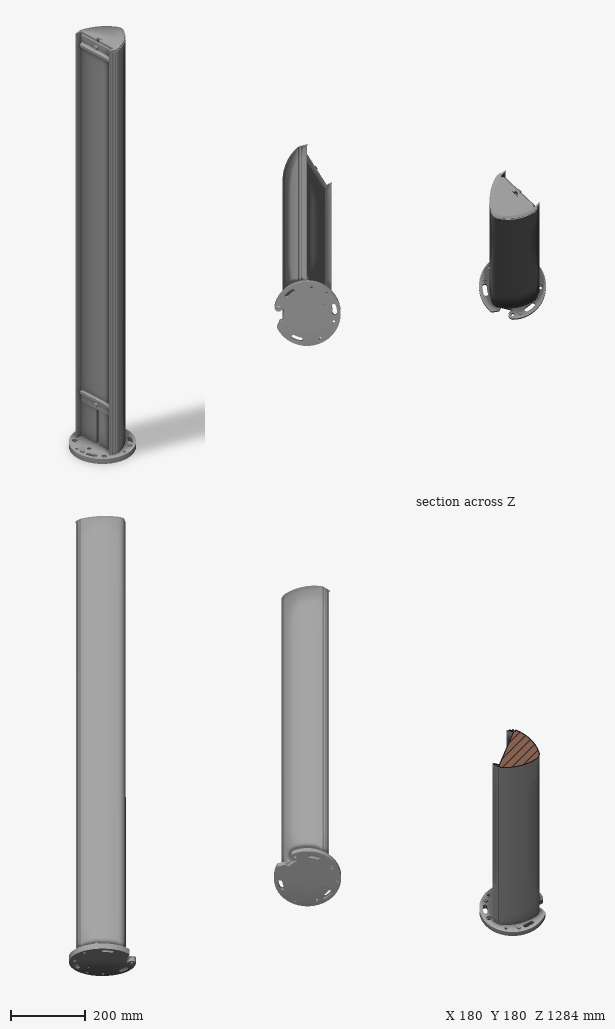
import cadquery as cq
import math

total_height = 1284.0
base_radius = 90.0
base_height = 15.0
overlap = 1.0

post_half_width = 72.0
post_widest_y = -15.0
flank_mid = (55.0, 27.0)
nose_start = (13.0, 69.0)
nose_tip_y = 73.0
side_groove_x = 67.0
side_groove_end_y = -19.0
arm_points = [(70.0, -19.0), (70.0, -23.0), (67.0, -25.0), (67.0, -31.0), (64.0, -33.0), (64.0, -37.0)]
recess_half_width = 62.0
panel_y = -19.0

cap_thickness = 6.0
cap_inset = 1.9
cap_edge_drop = 1.9
cap_edge_width = 8.0
cap_tip_x = 63.0
cap_tip_y = -40.0

groove_mouth_width = 10.9
groove_head_width = 22.0
groove_head_depth = 1.5
groove_back_y = -9.6

bracket_width = 112.0
bracket_height = 35.0
bracket_plate_y = -23.0
bracket_lip_y = -30.0
bracket_lip_height = 8.0
bracket_slope_height = 5.0
bracket_screw_offset = 14.0
bracket_screw_head_height = 6.0
lower_bracket_z = 127.0
upper_bracket_top_z = 1276.0

screw_circle_radius = 76.0
screw_head_diameter = 12.0
base_screw_head_height = 6.0
base_screw_angles = (30, 150, 270)
screw_socket_diameter = 4.4
screw_socket_depth = 5.0

slot_circle_radius = 75.0
slot_width = 12.0
slot_half_angle = 8.0
slot_first_angle = 52.5
slot_count = 3
pin_hole_radius = 78.0
pin_hole_diameters = {4: 7.8, 134: 7.8, 254: 9.0}
corner_hole_xy = (56.0, -49.0)
corner_hole_diameter = 8.5
corner_bore_diameter = 15.0
corner_bore_depth = 5.0
centre_hole_y = -50.0
centre_hole_diameter = 12.0
centre_hole_depth = 8.0
centre_pilot_diameter = 4.4
notch_inner_radius = 65.0
notch_start_angle = 106.0
notch_end_angle = 134.0
notch_flare_angle = 95.5
notch_lobe_radius = 10.9


def polar(radius, degrees):
    """The X, Y position at a distance and direction from the post axis."""
    angle = math.radians(degrees)
    return (radius * math.cos(angle), radius * math.sin(angle))


def mirrored(point):
    """The point on the other side of the symmetry plane X = 0."""
    return (-point[0], point[1])


def box(width, y_front, y_back, z_bottom, z_top):
    """A block centred on X = 0."""
    size = (width, y_back - y_front, z_top - z_bottom)
    return cq.Workplane().box(*size, centered=(True, False, False)).translate((0, y_front, z_bottom))


def screw_head(height):
    """A cylindrical head standing on the XY plane, with a round socket in its top."""
    head = cq.Workplane().circle(screw_head_diameter / 2).extrude(height)
    return head.faces(">Z").workplane().hole(screw_socket_diameter, screw_socket_depth)


def make_base():
    base = cq.Workplane().circle(base_radius).extrude(base_height)

    outer = base_radius + 13
    notch = (
        cq.Workplane()
        .moveTo(*polar(notch_inner_radius, notch_end_angle))
        .lineTo(*polar(outer, notch_end_angle))
        .lineTo(*polar(outer, notch_flare_angle))
        .lineTo(*polar(base_radius, notch_flare_angle))
        .lineTo(*polar(screw_circle_radius, notch_start_angle))
        .lineTo(*polar(notch_inner_radius, notch_start_angle))
        .close()
        .extrude(base_height)
    )
    base = base.cut(notch)
    lobe = cq.Workplane().center(*polar(pin_hole_radius, notch_end_angle))
    base = base.union(lobe.circle(notch_lobe_radius).extrude(base_height))

    for turn in range(slot_count):
        angle = slot_first_angle + turn * 360 / slot_count
        start, middle, end = (
            polar(slot_circle_radius, angle + step) for step in (-slot_half_angle, 0, slot_half_angle)
        )
        path = cq.Workplane().moveTo(*start).threePointArc(middle, end)
        base = base.cut(path.offset2D(slot_width / 2).extrude(base_height))

    for angle, diameter in pin_hole_diameters.items():
        pin = cq.Workplane().center(*polar(pin_hole_radius, angle))
        base = base.cut(pin.circle(diameter / 2).extrude(base_height))

    top = base.faces(">Z").workplane(origin=(0, 0, base_height))
    base = top.pushPoints([corner_hole_xy, mirrored(corner_hole_xy)]).cboreHole(
        corner_hole_diameter, corner_bore_diameter, corner_bore_depth
    )
    top = base.faces(">Z").workplane(origin=(0, 0, base_height))
    base = top.pushPoints([(0, centre_hole_y)]).cboreHole(
        centre_pilot_diameter, centre_hole_diameter, centre_hole_depth
    )

    for angle in base_screw_angles:
        x, y = polar(screw_circle_radius, angle)
        head = screw_head(base_screw_head_height + overlap)
        base = base.union(head.translate((x, y, base_height - overlap)))
    return base


def add_straight_sides(outline, right_side):
    """Close an outline with the given corners and then their mirror images."""
    left_side = [mirrored(point) for point in reversed(right_side)]
    for corner in right_side + left_side:
        outline = outline.lineTo(*corner)
    return outline.close()


def post_outline():
    right_side = [
        (side_groove_x, post_widest_y),
        (side_groove_x, side_groove_end_y),
        *arm_points,
        (recess_half_width, arm_points[-1][1]),
        (recess_half_width, panel_y),
    ]
    widest = (post_half_width, post_widest_y)
    outline = (
        cq.Workplane()
        .moveTo(*mirrored(widest))
        .threePointArc(mirrored(flank_mid), mirrored(nose_start))
        .threePointArc((0, nose_tip_y), nose_start)
        .threePointArc(flank_mid, widest)
    )
    return add_straight_sides(outline, right_side)


def make_cap():
    """A plate like the post without its grooves, with a bevelled rim."""
    nose = (nose_start[0], nose_start[1] - cap_inset)
    flank_inset = cap_inset * math.sqrt(0.5)
    flank = (flank_mid[0] - flank_inset, flank_mid[1] - flank_inset)
    widest = (post_half_width - cap_inset, post_widest_y)
    cap = (
        cq.Workplane()
        .moveTo(*mirrored(widest))
        .threePointArc(mirrored(flank), mirrored(nose))
        .threePointArc((0, nose_tip_y - cap_inset), nose)
        .threePointArc(flank, widest)
    )
    right_side = [
        (cap_tip_x, cap_tip_y),
        (recess_half_width, cap_tip_y),
        (recess_half_width, panel_y),
    ]
    cap = add_straight_sides(cap, right_side).extrude(cap_thickness)
    cap = cap.faces(">Z").edges("%CIRCLE").chamfer(cap_edge_drop, cap_edge_width)
    return cap.translate((0, 0, total_height - cap_thickness))


def make_post():
    shell_bottom = base_height - overlap
    post = post_outline().extrude(total_height - cap_thickness - shell_bottom)
    post = post.translate((0, 0, shell_bottom)).union(make_cap())
    groove_ends = [
        (base_height, lower_bracket_z + bracket_height / 2),
        (upper_bracket_top_z - bracket_height / 2, total_height),
    ]
    head_front_y = groove_back_y - groove_head_depth
    for bottom, top in groove_ends:
        post = post.cut(box(groove_mouth_width, panel_y, groove_back_y, bottom, top))
        post = post.cut(box(groove_head_width, head_front_y, groove_back_y, bottom, top))
    return post


def make_bracket():
    """A bracket with its plain end at Z = 0 and a sloped lip at its other end."""
    lip_start = bracket_height - bracket_lip_height
    back_y = panel_y + overlap
    profile = [
        (back_y, 0),
        (bracket_plate_y, 0),
        (bracket_plate_y, lip_start - bracket_slope_height),
        (bracket_lip_y, lip_start),
        (bracket_lip_y, bracket_height),
        (back_y, bracket_height),
    ]
    bracket = cq.Workplane("YZ").polyline(profile).close().extrude(bracket_width / 2, both=True)
    head = screw_head(bracket_screw_head_height + overlap)
    head = head.rotate((0, 0, 0), (1, 0, 0), 90)
    return bracket.union(head.translate((0, bracket_plate_y + overlap, bracket_screw_offset)))


lower_bracket = make_bracket().translate((0, 0, lower_bracket_z))
upper_bracket = make_bracket().mirror("XY").translate((0, 0, upper_bracket_top_z))
result = make_base().union(make_post()).union(lower_bracket).union(upper_bracket)